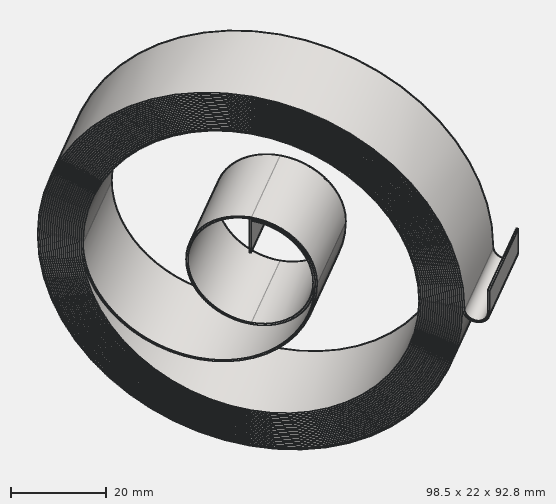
import cadquery as cq
import math

strip_width = 22.0
strip_thickness = 0.45
turn_clearance = 0.001
turn_pitch = strip_thickness + turn_clearance
half_turn_growth = turn_pitch / 2

hub_inner_radius = 13.5
tab_tip_height = 5.0

coil_outer_radius = 46.5
top_half_turns = 22

hook_inner_radius = 2.5
hook_leg_height = 6.0

RIGHT, TOP, LEFT, BOTTOM = 0, 90, 180, -90
FULL_TURN = 360


def arc(centre, inner_radius, start, end):
    """Stretch of strip around centre; start > end winds clockwise."""
    return {"centre": centre, "inner_radius": inner_radius, "start": start, "end": end}


def hub_arcs():
    """One full turn, then the quarter turn that lies on top of it."""
    centre = (0, 0)
    raised_centre = (0, half_turn_growth)
    return [
        arc(centre, hub_inner_radius, TOP, BOTTOM),
        arc(raised_centre, hub_inner_radius + half_turn_growth, BOTTOM + FULL_TURN, TOP),
        arc(centre, hub_inner_radius + turn_pitch, TOP, RIGHT),
    ]


def coil_arcs():
    """Half turns, each one growth step larger, about two alternating centres."""
    top_centre = (0, 0)
    bottom_centre = (-half_turn_growth, 0)
    half_turns = 2 * top_half_turns - 1
    first_radius = coil_outer_radius - strip_thickness - (half_turns - 1) * half_turn_growth
    arcs = []
    for i in range(half_turns):
        radius = first_radius + i * half_turn_growth
        if i % 2 == 0:
            arcs.append(arc(top_centre, radius, LEFT, RIGHT))
        else:
            arcs.append(arc(bottom_centre, radius, RIGHT, LEFT - FULL_TURN))
    return arcs


def bridge_arc(hub_end, coil_start):
    """Half turn under the hub, from its right side to the left side of the coil."""
    right_x = hub_end["centre"][0] + hub_end["inner_radius"]
    left_x = coil_start["centre"][0] - coil_start["inner_radius"]
    centre = ((right_x + left_x) / 2, 0)
    return arc(centre, (right_x - left_x) / 2, RIGHT, LEFT - FULL_TURN)


def hook_arc():
    """Half turn the other way, from the right end of the coil out and back up."""
    centre_x = coil_outer_radius + hook_inner_radius
    return arc((centre_x, 0), hook_inner_radius, LEFT - FULL_TURN, RIGHT)


def point_on(centre, radius, degrees):
    angle = math.radians(degrees)
    return (centre[0] + radius * math.cos(angle), centre[1] + radius * math.sin(angle))


def follow(outline, stretch, on_left, backwards=False):
    """Add one face of a stretch of strip; on_left is the left-hand face along the winding."""
    clockwise = stretch["start"] > stretch["end"]
    radius = stretch["inner_radius"]
    if clockwise == on_left:
        radius += strip_thickness
    middle = (stretch["start"] + stretch["end"]) / 2
    finish = stretch["start"] if backwards else stretch["end"]
    return outline.threePointArc(
        point_on(stretch["centre"], radius, middle),
        point_on(stretch["centre"], radius, finish),
    )


def tab_corner(outline):
    """Left face of the tab, its top rounded to the hub circle so it clears the next turn."""
    hub_outer_radius = hub_inner_radius + strip_thickness
    corner_angle = TOP + math.degrees(math.asin(strip_thickness / hub_outer_radius))
    return (
        outline.moveTo(-strip_thickness, tab_tip_height)
        .lineTo(*point_on((0, 0), hub_outer_radius, corner_angle))
        .threePointArc(
            point_on((0, 0), hub_outer_radius, (corner_angle + TOP) / 2),
            point_on((0, 0), hub_outer_radius, TOP),
        )
    )


def hook_leg(outline, hook):
    """Straight leg up from the hook, closed across its top."""
    inner_x = hook["centre"][0] + hook["inner_radius"]
    return (
        outline.lineTo(inner_x, hook_leg_height)
        .lineTo(inner_x + strip_thickness, hook_leg_height)
        .lineTo(inner_x + strip_thickness, 0)
    )


def spring():
    """The closed outline of the strip, extruded towards -Y by its width."""
    hub = hub_arcs()
    coil = coil_arcs()
    hook = hook_arc()
    winding = hub + [bridge_arc(hub[-1], coil[0])] + coil + [hook]

    outline = tab_corner(cq.Workplane("XZ", origin=(0, strip_width / 2, 0)))
    for stretch in winding:
        outline = follow(outline, stretch, on_left=True)
    outline = hook_leg(outline, hook)
    for stretch in reversed(winding):
        outline = follow(outline, stretch, on_left=False, backwards=True)
    outline = outline.lineTo(0, tab_tip_height).close()
    return outline.extrude(strip_width)


result = spring()